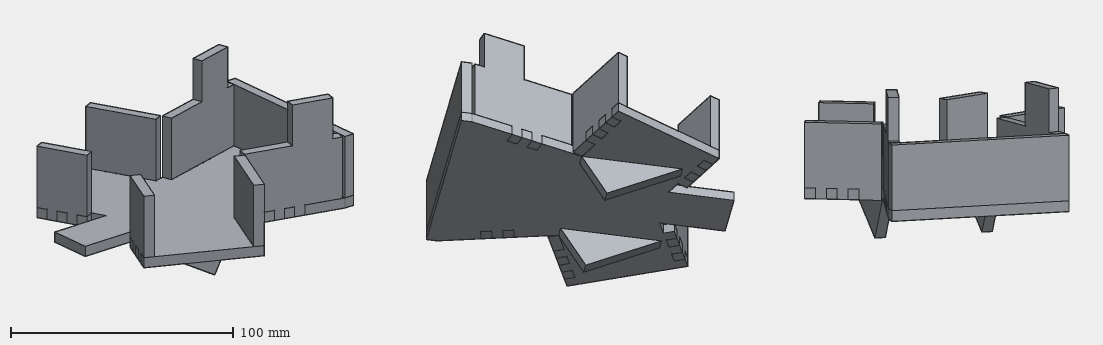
import cadquery as cq
import math

sheet = 5.0
overall_length = 131.0
overall_width = 123.0
back_width = 83.7
wall_height = 30.0

tongue_width = 21.6

arm_angle = 25.0
arm_width = 56.1
arm_corner_y = 62.8
rear_wall_length = 35.0
fingered_length = 5 * sheet
front_wall_length = fingered_length

side_tab_start = 4 * sheet
side_wall_end = 10 * sheet
post_width = 20.0
post_height = 19.9
post_setback = 4.7

fin_depth = 20.0
fin_angle = 30.0
fin_front_y = 26.9
fin_spacing = 50.6

wall_top = sheet + wall_height
post_top = wall_top + post_height
back_face_y = overall_length - sheet

inward = cq.Vector(-math.cos(math.radians(arm_angle)), math.sin(math.radians(arm_angle)))
rearward = cq.Vector(inward.y, -inward.x)

arm_rear_outer = cq.Vector(overall_width / 2, arm_corner_y)
arm_rear_inner = arm_rear_outer - rearward * sheet
arm_front_outer = arm_rear_outer - rearward * arm_width
arm_front_inner = arm_front_outer + rearward * sheet
shoulder = arm_rear_inner + inward * rear_wall_length
rear_corner = cq.Vector(back_width / 2, back_face_y)
side_direction = (shoulder - rear_corner).normalized()

notch_x = tongue_width / 2
notch_y = arm_front_inner.y + (arm_front_inner.x - notch_x) * math.tan(math.radians(arm_angle))
notch = cq.Vector(notch_x, notch_y)

side_wall_start = sheet * abs(side_direction.x / side_direction.y)


def mirrored(body):
    """Copy of a right-hand body for the left-hand side."""
    return body.mirror("YZ")


def upright_plane(corner, direction):
    """Vertical plane: local X runs along direction, local Y is up, the normal points to its right."""
    return cq.Plane(origin=corner, xDir=direction, normal=direction.cross(cq.Vector(0, 0, 1)))


def panel(plane, start, end, bottom, top):
    """Rectangular panel one sheet thick, standing on the plane."""
    return (
        cq.Workplane(plane)
        .moveTo(start, bottom)
        .lineTo(end, bottom)
        .lineTo(end, top)
        .lineTo(start, top)
        .close()
        .extrude(sheet)
    )


def arm_wall(corner, length):
    """Wall along an arm; from its outer end, gaps for plate fingers alternate with tabs."""
    plane = upright_plane(corner, inward)
    wall = panel(plane, 0, length, sheet, wall_top)
    for tab_start in (sheet, 3 * sheet):
        wall = wall.union(panel(plane, tab_start, tab_start + sheet, 0, sheet))
    if length > fingered_length:
        wall = wall.union(panel(plane, fingered_length, length, 0, sheet))
    return wall


def side_wall():
    """Slanted wall with a tall post near its rear end and two tabs into the plate."""
    plane = upright_plane(rear_corner, side_direction)
    wall = panel(plane, side_wall_start, side_wall_end, sheet, wall_top)
    post_start = side_wall_start + post_setback
    wall = wall.union(panel(plane, post_start, post_start + post_width, wall_top, post_top))
    for tab_start in (side_tab_start, side_tab_start + 2 * sheet):
        wall = wall.union(panel(plane, tab_start, tab_start + sheet, 0, sheet))
    return wall


def back_wall():
    """Plain wall standing on the rear edge of the plate."""
    return (
        cq.Workplane("XY", origin=(0, back_face_y, sheet))
        .box(back_width, sheet, wall_height, centered=(True, False, False))
    )


def fin(middle_x):
    """Right-triangular fin hanging from the underside of the plate, apex down."""
    slope = math.tan(math.radians(fin_angle))
    apex_y = fin_front_y + fin_depth / slope
    rear_y = apex_y + fin_depth * slope
    return (
        cq.Workplane("YZ", origin=(middle_x - sheet / 2, 0, 0))
        .moveTo(fin_front_y, 0)
        .lineTo(rear_y, 0)
        .lineTo(apex_y, -fin_depth)
        .close()
        .extrude(sheet)
    )


def base_plate(tabbed_walls):
    """Plate with a tongue and two arms, notched for the tabs of the walls around it."""
    front_wall_inner_end = arm_front_inner + inward * front_wall_length
    front_wall_outer_end = arm_front_outer + inward * front_wall_length
    rear_wall_outer_end = arm_rear_outer + inward * rear_wall_length
    right_half = [
        (notch.x, 0),
        (notch.x, notch.y),
        (front_wall_inner_end.x, front_wall_inner_end.y),
        (front_wall_outer_end.x, front_wall_outer_end.y),
        (arm_front_outer.x, arm_front_outer.y),
        (arm_rear_outer.x, arm_rear_outer.y),
        (rear_wall_outer_end.x, rear_wall_outer_end.y),
        (shoulder.x, shoulder.y),
        (rear_corner.x, rear_corner.y),
        (rear_corner.x, overall_length),
    ]
    left_half = [(-x, y) for x, y in reversed(right_half)]
    plate = cq.Workplane("XY").polyline(right_half + left_half).close().extrude(sheet)
    for wall in tabbed_walls:
        plate = plate.cut(wall)
    return plate


rear_arm_wall = arm_wall(arm_rear_inner, rear_wall_length)
front_arm_wall = arm_wall(arm_front_outer, front_wall_length)

walls = []
for right_wall in (side_wall(), rear_arm_wall, front_arm_wall):
    walls += [right_wall, mirrored(right_wall)]

plate = base_plate(walls)
back = back_wall()
fins = [fin(side * fin_spacing / 2) for side in (-1, 1)]

result = cq.Compound.makeCompound([body.val() for body in [plate, back, *walls, *fins]])